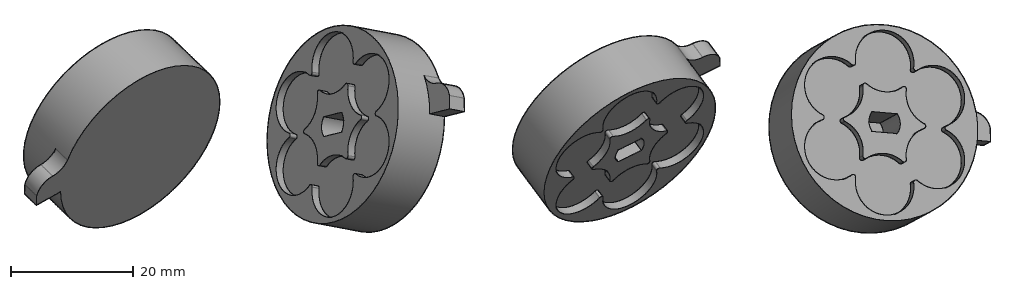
import cadquery as cq
import math

disc_diameter = 32.8
disc_radius = disc_diameter / 2
thickness = 10.0
overall_width = 37.8

lobe_count = 6
lobe_ring_radius = 10.32
lobe_radius = lobe_ring_radius * math.sin(math.pi / lobe_count)
tip_radius = 0.4
pocket_depth = 1.5

shaft_diameter = 5.5
shaft_flat_height = 3.33
shaft_hole_depth = 7.55

tab_thickness = 3.2
tab_height = 4.88
tab_end_y = disc_radius - overall_width
tab_crest_y = -18.03
tab_corner_end_y = -21.32
tab_corner_end_z = 2.25
tab_root_z = 6.7


def polar(radius, angle):
    """Point (y, z) at an angle from the +Z axis."""
    return (radius * math.sin(angle), radius * math.cos(angle))


def lobed_outline(side):
    """Prism of the flower (side = 1) or the star (side = -1), one pocket depth long."""
    half_pitch = math.pi / lobe_count
    touch_radius = lobe_ring_radius * math.cos(half_pitch)
    tip_offset = math.sqrt((lobe_radius + tip_radius) ** 2 - lobe_radius ** 2)
    tip_ring_radius = touch_radius + side * tip_offset
    blend = lobe_radius / (lobe_radius + tip_radius)

    def tangent_point(lobe_angle, tip_angle):
        lobe_y, lobe_z = polar(lobe_ring_radius, lobe_angle)
        tip_y, tip_z = polar(tip_ring_radius, tip_angle)
        return (lobe_y + blend * (tip_y - lobe_y), lobe_z + blend * (tip_z - lobe_z))

    outline = cq.Workplane("YZ").moveTo(*tangent_point(0, -half_pitch))
    for index in range(lobe_count):
        lobe_angle = 2 * half_pitch * index
        tip_angle = lobe_angle + half_pitch
        next_angle = tip_angle + half_pitch
        lobe_middle = polar(lobe_ring_radius + side * lobe_radius, lobe_angle)
        tip_end = polar(tip_ring_radius - side * tip_radius, tip_angle)
        outline = outline.threePointArc(lobe_middle, tangent_point(lobe_angle, tip_angle))
        outline = outline.threePointArc(tip_end, tangent_point(next_angle, tip_angle))
    return outline.close().extrude(pocket_depth)


def shaft_hole():
    """Blind round bore limited by two flats parallel to Y."""
    bore = cq.Workplane("YZ").circle(shaft_diameter / 2).extrude(shaft_hole_depth)
    flats = cq.Workplane("YZ").rect(shaft_diameter, shaft_flat_height).extrude(shaft_hole_depth)
    return bore.intersect(flats)


def level_arc_middle(start, end):
    """Middle (y, z) of the arc that leaves start parallel to Y and finishes at end."""
    run = end[0] - start[0]
    rise = end[1] - start[1]
    half_sweep = math.atan2(rise, abs(run))
    half_chord = math.hypot(run, rise) / 2
    radius = half_chord / math.sin(half_sweep)
    middle_run = math.copysign(half_chord, run)
    middle_rise = radius * (1 - math.cos(half_sweep))
    return (start[0] + middle_run, start[1] + middle_rise)


def lever_tab():
    """Tab with a rounded outer corner and a concave blend running up to the disc."""
    crest = (tab_crest_y, tab_height)
    corner_end = (tab_corner_end_y, tab_corner_end_z)
    root = (-math.sqrt(disc_radius ** 2 - tab_root_z ** 2), tab_root_z)
    return (
        cq.Workplane("YZ", origin=(thickness - tab_thickness, 0, 0))
        .moveTo(*root)
        .lineTo(0, 0)
        .lineTo(tab_end_y, 0)
        .lineTo(*corner_end)
        .threePointArc(level_arc_middle(crest, corner_end), crest)
        .threePointArc(level_arc_middle(crest, root), root)
        .close()
        .extrude(tab_thickness)
    )


disc = cq.Workplane("YZ").circle(disc_radius).extrude(thickness)
pocket = lobed_outline(1).cut(lobed_outline(-1))
result = disc.union(lever_tab()).cut(pocket).cut(shaft_hole())